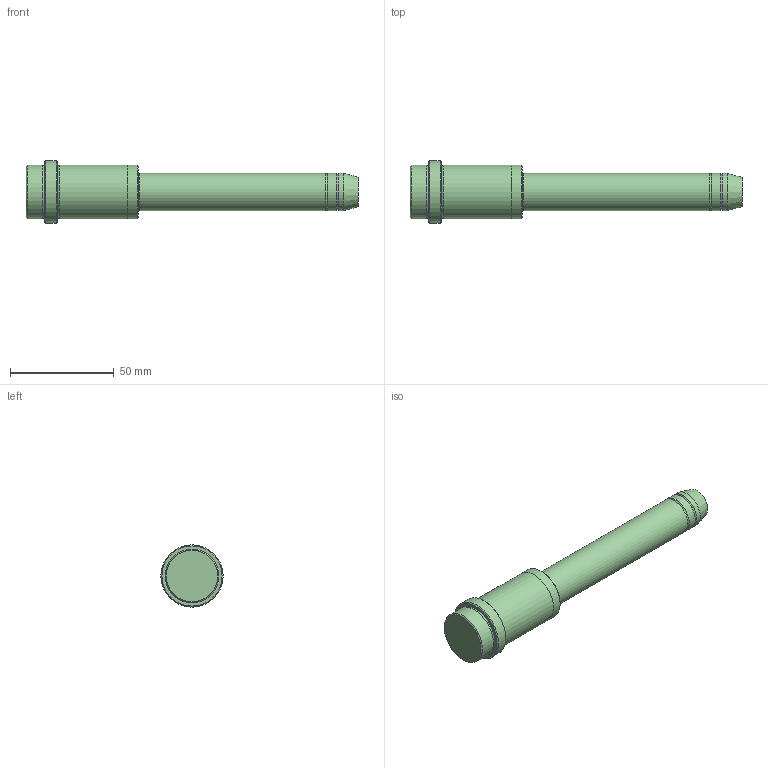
import cadquery as cq
import math

total_length = 160.0

body_diameter = 26.0
body_end = 54.0
body_chamfer = 0.5
lead_length = 5.0
lead_diameter = 25.98

collar_diameter = 30.0
collar_start = 9.0
collar_width = 6.0
collar_chamfer = 0.5
relief_width = 1.0
relief_depth = 0.3

shaft_diameter = 18.0
root_fillet = 0.5
tip_length = 7.0
tip_angle = 15.0

oil_groove_centers = (145.0, 150.0)
oil_groove_width = 1.0
oil_groove_depth = 0.5

body_radius = body_diameter / 2
shaft_radius = shaft_diameter / 2
collar_end = collar_start + collar_width


def cylinder(start, end, diameter):
    """Solid cylinder on the X axis between two stations."""
    return cq.Workplane("YZ", origin=(start, 0, 0)).circle(diameter / 2).extrude(end - start)


def rounded_groove_cutter(center, surface_radius, width, depth):
    """Ring with an arc-shaped inner face, for a rounded groove around a cylinder on X."""
    half_width = width / 2
    outer_radius = surface_radius + depth
    return (
        cq.Workplane("XZ")
        .moveTo(center - half_width, surface_radius)
        .threePointArc(
            (center, surface_radius - depth),
            (center + half_width, surface_radius),
        )
        .lineTo(center + half_width, outer_radius)
        .lineTo(center - half_width, outer_radius)
        .close()
        .revolve(360, (0, 0, 0), (1, 0, 0))
    )


def make_body():
    """Chamfered body whose front stretch is slightly reduced as a lead-in."""
    lead_start = body_end - lead_length
    rear = cylinder(0, lead_start, body_diameter).faces("<X").chamfer(body_chamfer)
    lead = cylinder(lead_start, body_end, lead_diameter).faces(">X").chamfer(body_chamfer)
    body = rear.union(lead)
    for center in (collar_start - relief_width / 2, collar_end + relief_width / 2):
        cutter = rounded_groove_cutter(center, body_radius, relief_width, relief_depth)
        body = body.cut(cutter)
    return body


def make_collar():
    """Locating collar with both rims chamfered."""
    return cylinder(collar_start, collar_end, collar_diameter).edges().chamfer(collar_chamfer)


def make_shaft():
    """Shaft profile revolved about X, from its root fillet to its conical tip."""
    tip_start = total_length - tip_length
    tip_radius = shaft_radius - tip_length * math.tan(math.radians(tip_angle))
    diagonal = root_fillet * (1 - math.sqrt(0.5))
    shaft = (
        cq.Workplane("XZ")
        .moveTo(body_end, 0)
        .lineTo(body_end, shaft_radius + root_fillet)
        .threePointArc(
            (body_end + diagonal, shaft_radius + diagonal),
            (body_end + root_fillet, shaft_radius),
        )
        .lineTo(tip_start, shaft_radius)
        .lineTo(total_length, tip_radius)
        .lineTo(total_length, 0)
        .close()
        .revolve(360, (0, 0, 0), (1, 0, 0))
    )
    for center in oil_groove_centers:
        cutter = rounded_groove_cutter(center, shaft_radius, oil_groove_width, oil_groove_depth)
        shaft = shaft.cut(cutter)
    return shaft


result = make_body().union(make_collar()).union(make_shaft())